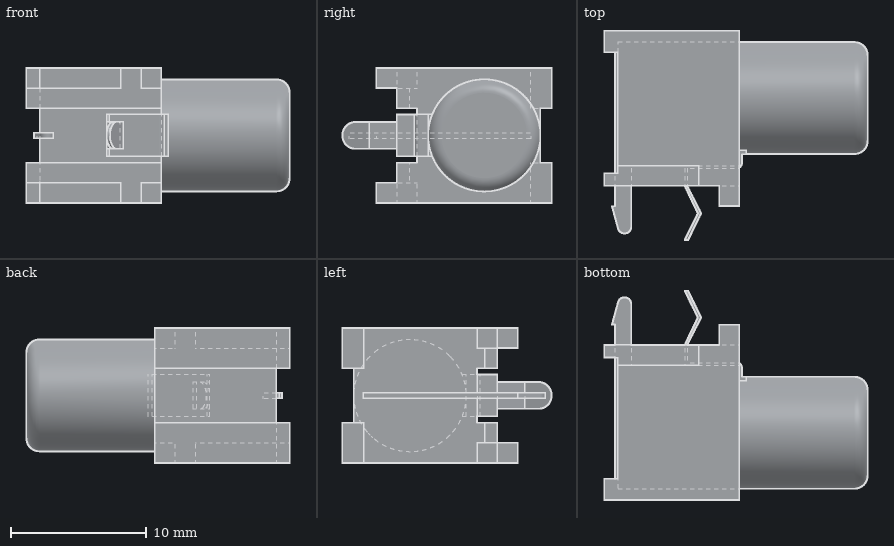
import cadquery as cq
import math

length = 19.5

housing_length = 10.0
housing_height = 10.0
half_height = housing_height / 2
housing_top = 5.0
floor_y = -5.0
rail_y = -6.5
leg_y = -8.0
back_wall_x = 1.0
half_channel = 2.0
upper_foot_y = 3.4
lower_foot_y = -5.55
notch_end_x = 7.0
notch_height = 1.5
leg_start_x = 8.5

barrel_radius = 4.15
nose_radius = 1.0

pin_thickness = 0.43
pin_back_x = 0.78
pin_front_x = 2.0
pin_top_y = 3.43
barb_x = 0.57
barb_y = -8.0
pin_tip_radius = 0.5
pin_tip_y = -10.02

sheet = 0.2
clip_width = 3.12
tab_x = 5.95
bend_radius = 0.39
lip_end_x = 10.51
leg_width = 2.0
leg_slant_width = 0.25
elbow_x = 7.18
elbow_y = -8.52
clip_tip_y = -10.51


def box(x, y, z):
    """Block spanning the given (low, high) pairs along X, Y and Z."""
    return (
        cq.Workplane("XY")
        .box(x[1] - x[0], y[1] - y[0], z[1] - z[0], centered=False)
        .translate((x[0], y[0], z[0]))
    )


def symmetric_plate(outline, width):
    """Closed XY outline extruded equally to both sides of Z = 0."""
    return outline.close().extrude(width / 2, both=True)


def housing_side():
    """Rail, feet and leg on the +Z side of the central channel."""
    notch_z = half_height - notch_height
    wall_z = (half_channel, half_height)
    side = box((back_wall_x, housing_length), (rail_y, housing_top), wall_z)
    upper_foot = box((0, back_wall_x), (upper_foot_y, housing_top), wall_z)
    lower_foot = box((0, back_wall_x), (rail_y, lower_foot_y), (half_channel, notch_z))
    leg = box((leg_start_x, housing_length), (leg_y, rail_y), (notch_z, half_height))
    notch = box((0, notch_end_x), (rail_y, floor_y), (notch_z, half_height))
    return side.union(upper_foot).union(lower_foot).union(leg).cut(notch)


def make_housing():
    core = box(
        (back_wall_x, housing_length),
        (floor_y, barrel_radius),
        (-half_channel, half_channel),
    )
    side = housing_side()
    return core.union(side).union(side.mirror("XY"))


def make_barrel():
    return (
        cq.Workplane("YZ", origin=(back_wall_x, 0, 0))
        .circle(barrel_radius)
        .extrude(length - back_wall_x)
        .faces(">X")
        .edges()
        .fillet(nose_radius)
    )


def make_pin():
    centre_x = pin_front_x - pin_tip_radius
    centre_y = pin_tip_y + pin_tip_radius
    reach = math.hypot(barb_x - centre_x, barb_y - centre_y)
    toward_barb = math.atan2(barb_y - centre_y, barb_x - centre_x)
    tangent_angle = toward_barb + math.acos(pin_tip_radius / reach)
    tangent_x = centre_x + pin_tip_radius * math.cos(tangent_angle)
    tangent_y = centre_y + pin_tip_radius * math.sin(tangent_angle)
    outline = (
        cq.Workplane("XY")
        .moveTo(pin_back_x, pin_top_y)
        .lineTo(pin_front_x, pin_top_y)
        .lineTo(pin_front_x, centre_y)
        .threePointArc((centre_x, pin_tip_y), (tangent_x, tangent_y))
        .lineTo(barb_x, barb_y)
        .lineTo(pin_back_x, barb_y)
    )
    return symmetric_plate(outline, pin_thickness)


def make_clip_strip():
    """Strip under the floor, bent up over the front face and out along the barrel."""
    strip_y = floor_y - sheet
    front_x = housing_length + sheet
    outline = (
        cq.Workplane("XY")
        .moveTo(tab_x, floor_y)
        .lineTo(tab_x, strip_y)
        .lineTo(front_x - bend_radius, strip_y)
        .radiusArc((front_x, strip_y + bend_radius), -bend_radius)
        .lineTo(front_x, -barrel_radius)
        .lineTo(lip_end_x, -barrel_radius)
        .lineTo(lip_end_x, 0)
        .lineTo(housing_length - bend_radius, 0)
        .lineTo(housing_length - bend_radius, floor_y)
    )
    lip_and_strip = symmetric_plate(outline, clip_width)
    tab = box(
        (tab_x, tab_x + sheet),
        (rail_y, floor_y),
        (-clip_width / 2, clip_width / 2),
    )
    return lip_and_strip.union(tab)


def make_clip_leg():
    """Narrow V-shaped leg with a fully rounded tip."""
    outline = (
        cq.Workplane("XY")
        .moveTo(tab_x, rail_y + sheet)
        .lineTo(tab_x, rail_y)
        .lineTo(elbow_x - leg_slant_width, elbow_y)
        .lineTo(tab_x, clip_tip_y)
        .lineTo(tab_x + leg_slant_width, clip_tip_y)
        .lineTo(elbow_x, elbow_y)
        .lineTo(tab_x + sheet, rail_y)
        .lineTo(tab_x + sheet, rail_y + sheet)
    )
    leg = symmetric_plate(outline, leg_width)
    half_width = leg_width / 2
    round_y = clip_tip_y + half_width
    rounded_face = (
        cq.Workplane("YZ")
        .moveTo(0, half_width)
        .lineTo(round_y, half_width)
        .threePointArc((clip_tip_y, 0), (round_y, -half_width))
        .lineTo(0, -half_width)
        .close()
        .extrude(housing_length)
    )
    return leg.intersect(rounded_face)


result = (
    make_housing()
    .union(make_barrel())
    .union(make_pin())
    .union(make_clip_strip())
    .union(make_clip_leg())
)